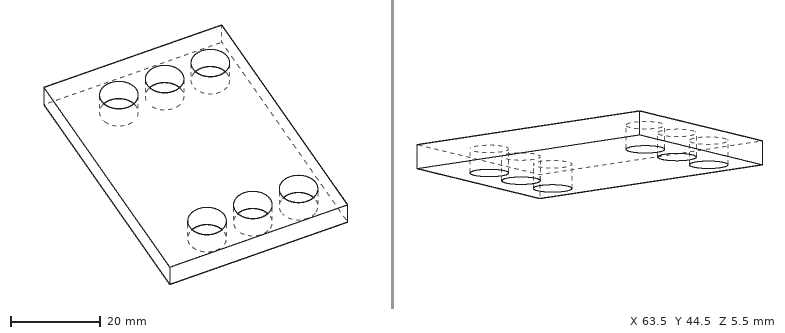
import cadquery as cq

plate_length = 63.5
plate_width = 44.45
plate_thickness = 5.5

hole_diameter = 8.64
holes_per_column = 3
hole_pitch = 11.43
column_spacing = 44.45
left_column_inset = 9.652
top_row_inset = 7.62


def make_plate():
    """Flat rectangular plate centred in X and Y, resting on Z = 0."""
    return cq.Workplane("XY").box(
        plate_length, plate_width, plate_thickness, centered=(True, True, False)
    )


def hole_centres():
    """Centres of both hole columns, stepping from the +Y edge towards -Y."""
    left_x = -plate_length / 2 + left_column_inset
    right_x = left_x + column_spacing
    top_y = plate_width / 2 - top_row_inset
    return [
        (x, top_y - row * hole_pitch)
        for x in (left_x, right_x)
        for row in range(holes_per_column)
    ]


def cut_holes(plate):
    """Drill every hole through the full plate thickness."""
    top_face = plate.faces(">Z").workplane(origin=(0, 0, 0))
    return top_face.pushPoints(hole_centres()).hole(hole_diameter)


result = cut_holes(make_plate())